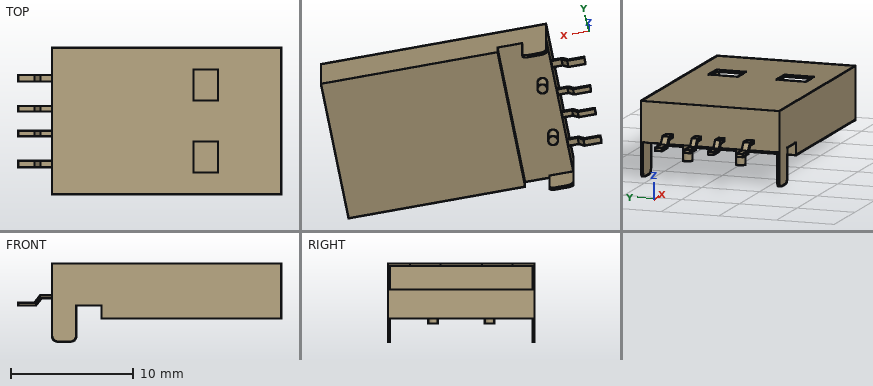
import cadquery as cq


total_length = 21.5
width = 12.0
total_height = 6.4

lead_reach = 2.75
body_length = total_length - lead_reach
body_height = 4.52
rear_height = 3.46
rear_length = 4.05
sheet = 0.2
tongue_top = 2.13

window_length = 2.0
window_width = 2.52
window_start = 11.57
window_offset = 2.95

tab_length = 2.0
tab_radius = 0.5

peg_diameter = 0.8
peg_offset = 2.3
peg_x = 1.0
peg_bottom = 4.92

lead_thickness = 0.25
lead_top = 2.6
pad_end = 1.42
bend_start = 0.95
bend_shift = 0.09
lead_embed = 0.22
outer_lead_offset = 3.5
inner_lead_offset = 1.0
outer_lead_width = 0.55
inner_lead_width = 0.47


def block(x_start, x_end, y_center, y_size, z_bottom, z_top):
    """Rectangular block centred on y_center."""
    return (
        cq.Workplane("XY", origin=((x_start + x_end) / 2, y_center, z_bottom))
        .rect(x_end - x_start, y_size)
        .extrude(z_top - z_bottom)
    )


def make_body():
    """Stepped body with the plug cavity above the tongue, open at the front."""
    body = block(0, body_length, 0, width, -body_height, 0)
    rear_step = block(0, rear_length, 0, width, -body_height, -rear_height)
    cavity = block(rear_length, body_length, 0, width - 2 * sheet, -tongue_top, -sheet)
    return body.cut(rear_step).cut(cavity)


def make_window(y_center):
    """Cutter for a latch window through the top sheet."""
    return block(window_start, window_start + window_length, y_center, window_width, -sheet, 0)


def make_tab(side):
    """Side tab with rounded lower corners; side is +1 or -1."""
    y_center = side * (width - sheet) / 2
    tab = block(0, tab_length, y_center, sheet, -total_height, -rear_height)
    return tab.edges("|Y and <Z").fillet(tab_radius)


def make_peg(y_center):
    """Round locating peg under the rear of the body."""
    return (
        cq.Workplane("XY", origin=(peg_x, y_center, -peg_bottom))
        .circle(peg_diameter / 2)
        .extrude(peg_bottom - rear_height)
    )


def make_lead(y_center, lead_width):
    """Cranked contact lead whose pad is level with the rear underside."""
    outline = [
        (lead_embed, -lead_top),
        (-bend_start, -lead_top),
        (-pad_end, lead_thickness - rear_height),
        (-lead_reach, lead_thickness - rear_height),
        (-lead_reach, -rear_height),
        (bend_shift - pad_end, -rear_height),
        (bend_shift - bend_start, -lead_top - lead_thickness),
        (lead_embed, -lead_top - lead_thickness),
    ]
    return (
        cq.Workplane("XZ", origin=(0, y_center, 0))
        .polyline(outline)
        .close()
        .extrude(lead_width / 2, both=True)
    )


result = make_body()
for side in (-1, 1):
    result = result.cut(make_window(side * window_offset))
    result = result.union(make_tab(side))
    result = result.union(make_peg(side * peg_offset))
    result = result.union(make_lead(side * outer_lead_offset, outer_lead_width))
    result = result.union(make_lead(side * inner_lead_offset, inner_lead_width))